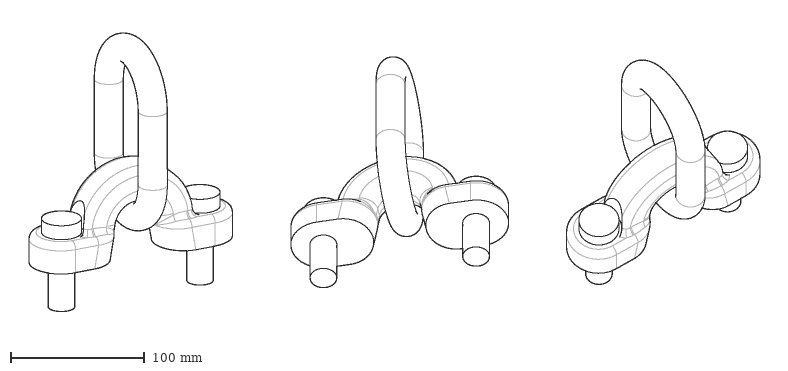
import cadquery as cq
import math


link_width = 94.1
link_bar_dia = 22.0
link_top = 170.8
link_bottom = 17.4
link_bend_radius = (link_width - link_bar_dia) / 2

bolt_y = 58.1
head_dia = 30.0
head_height = 11.2
shank_dia = 20.0
overall_height = 206.8
shank_below_foot = overall_height - link_top

total_span = 165.0
foot_width = 48.0
foot_height = 24.0
foot_edge_fillet = 5.4
foot_outer_radius = foot_width / 2
foot_outer_centre_y = total_span / 2 - foot_outer_radius
nose_tip_y = 20.3
nose_depth = 22.1
nose_slant = 10.0
nose_lean = foot_height * math.tan(math.radians(nose_slant))

arch_width = 30.6
arch_centre_z = 24.0
arch_outer_radius = 46.3
arch_inner_radius = 16.3
arch_outer_fillet = 5.8
arch_inner_fillet = 12.0
arch_root_fillet = 5.0
leg_bottom_z = 10.3
head_clearance_dia = 34.3


def make_link():
    """Round-bar oval ring with straight sides."""
    lower_centre_z = link_bottom + link_width / 2
    upper_centre_z = link_top - link_width / 2
    r = link_bend_radius
    path = (
        cq.Workplane("XZ")
        .moveTo(r, lower_centre_z)
        .lineTo(r, upper_centre_z)
        .threePointArc((0, upper_centre_z + r), (-r, upper_centre_z))
        .lineTo(-r, lower_centre_z)
        .threePointArc((0, lower_centre_z - r), (r, lower_centre_z))
        .close()
    )
    return (
        cq.Workplane("XY", origin=(r, 0, lower_centre_z))
        .circle(link_bar_dia / 2)
        .sweep(path)
    )


def make_foot():
    """Foot on the +Y side: upright round outer end, leaning elliptical nose towards the arch."""
    half = foot_outer_radius
    nose_y = nose_tip_y + nose_depth
    outer_end = (
        cq.Workplane("XY")
        .moveTo(-half, nose_y)
        .lineTo(-half, foot_outer_centre_y)
        .threePointArc((0, foot_outer_centre_y + half), (half, foot_outer_centre_y))
        .lineTo(half, nose_y)
        .close()
        .extrude(foot_height)
    )
    nose_outline = (
        cq.Workplane("XY")
        .moveTo(half, nose_y)
        .lineTo(half, foot_outer_centre_y)
        .lineTo(-half, foot_outer_centre_y)
        .lineTo(-half, nose_y)
        .ellipseArc(half, nose_depth, 180, 360, startAtCurrent=True)
        .close()
        .val()
    )
    lean = cq.Vector(0, -nose_lean, foot_height)
    nose = cq.Workplane(cq.Solid.extrudeLinear(nose_outline, [], lean))
    foot = outer_end.union(nose).clean()
    return foot.faces(">Z").edges().fillet(foot_edge_fillet)


def make_arch():
    """Half ring with softened edges; the inner side of each leg leans away from the arch below."""
    half = arch_width / 2
    slant = math.radians(nose_slant)
    tangent_y = arch_inner_radius * math.cos(slant)
    tangent_z = arch_centre_z + arch_inner_radius * math.sin(slant)
    leg_y = tangent_y + (tangent_z - leg_bottom_z) * math.tan(slant)
    arch = (
        cq.Workplane("YZ")
        .moveTo(-arch_outer_radius, leg_bottom_z)
        .lineTo(-arch_outer_radius, arch_centre_z)
        .threePointArc((0, arch_centre_z + arch_outer_radius), (arch_outer_radius, arch_centre_z))
        .lineTo(arch_outer_radius, leg_bottom_z)
        .lineTo(leg_y, leg_bottom_z)
        .lineTo(tangent_y, tangent_z)
        .threePointArc((0, arch_centre_z + arch_inner_radius), (-tangent_y, tangent_z))
        .lineTo(-leg_y, leg_bottom_z)
        .close()
        .extrude(half, both=True)
    )
    crown_z = arch_centre_z + arch_outer_radius
    throat_z = arch_centre_z + arch_inner_radius
    for z, radius in ((crown_z, arch_outer_fillet), (throat_z, arch_inner_fillet)):
        for x in (-half, half):
            arch = arch.edges(cq.selectors.NearestToPointSelector((x, 0, z))).fillet(radius)
    return arch


def make_bridle():
    """Arch with a foot at each end, blended together, drilled and cleared for the bolts."""
    foot = make_foot()
    bridle = make_arch().union(foot).union(foot.rotate((0, 0, 0), (0, 0, 1), 180))

    tolerance = 0.2
    x_limit = arch_width / 2 + tolerance
    for side in (-1, 1):
        root_zone = cq.selectors.BoxSelector(
            (-x_limit, 0, leg_bottom_z),
            (x_limit, side * (arch_outer_radius + tolerance), foot_height + tolerance),
            boundingbox=True,
        )
        bridle = bridle.edges(root_zone).fillet(arch_root_fillet)

    bolt_points = [(0, -bolt_y), (0, bolt_y)]
    head_clearance = (
        cq.Workplane("XY", origin=(0, 0, foot_height))
        .pushPoints(bolt_points)
        .circle(head_clearance_dia / 2)
        .extrude(arch_outer_radius)
    )
    shank_holes = (
        cq.Workplane("XY")
        .pushPoints(bolt_points)
        .circle(shank_dia / 2)
        .extrude(foot_height)
    )
    return bridle.cut(head_clearance).cut(shank_holes)


def make_bolt(y):
    """Plain cylindrical head resting on the foot, with the shank passing down through it."""
    head = (
        cq.Workplane("XY", origin=(0, y, foot_height))
        .circle(head_dia / 2)
        .extrude(head_height)
    )
    shank = (
        cq.Workplane("XY", origin=(0, y, foot_height))
        .circle(shank_dia / 2)
        .extrude(-(foot_height + shank_below_foot))
    )
    return head.union(shank)


link = make_link()
bridle = make_bridle()
bolts = [make_bolt(y) for y in (-bolt_y, bolt_y)]

result = cq.Compound.makeCompound([link.val(), bridle.solids().val(), *[bolt.val() for bolt in bolts]])